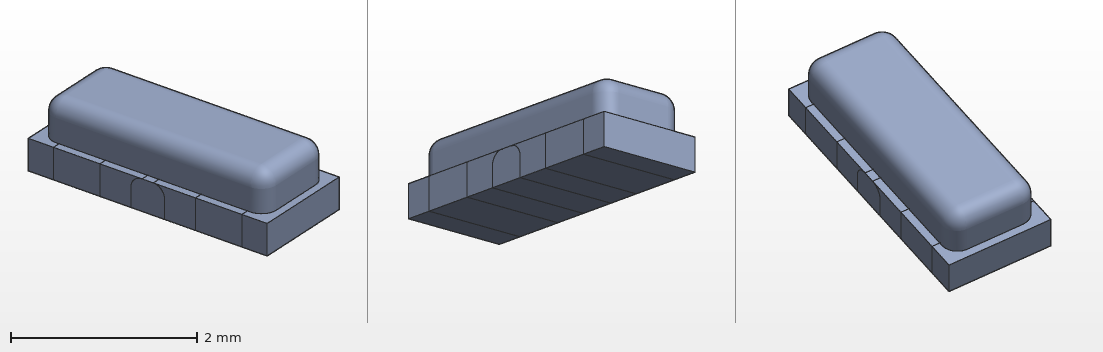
import cadquery as cq

LENGTH = 3.2
WIDTH = 1.3
BASE_HEIGHT = 0.4
TOTAL_HEIGHT = 0.9

CAP_MARGIN = 0.1
CAP_RADIUS = 0.2

SIDE_TERMINAL_WIDTH = 0.62
SIDE_TERMINAL_OFFSET = 0.95
CENTRE_TERMINAL_WIDTH = 0.45
CENTRE_TERMINAL_RADIUS = 0.15


def make_cap():
    """Cover with rounded upright corners and a rounded top rim."""
    cap = cq.Workplane("XY").workplane(offset=BASE_HEIGHT).rect(
        LENGTH - 2 * CAP_MARGIN, WIDTH - 2 * CAP_MARGIN
    )
    cap = cap.extrude(TOTAL_HEIGHT - BASE_HEIGHT)
    return cap.edges("|Z").fillet(CAP_RADIUS).faces(">Z").edges().fillet(CAP_RADIUS)


def make_strip(x_start, x_end):
    """Rectangular slice of the substrate between two X positions."""
    return cq.Workplane("XY").box(
        x_end - x_start, WIDTH, BASE_HEIGHT, centered=(False, True, False)
    ).translate((x_start, 0, 0))


def make_side_terminal(x_centre):
    """Plain terminal strip."""
    half_width = SIDE_TERMINAL_WIDTH / 2
    return make_strip(x_centre - half_width, x_centre + half_width)


def make_centre_terminal():
    """Terminal strip whose two long top edges are rounded."""
    half_width = CENTRE_TERMINAL_WIDTH / 2
    strip = make_strip(-half_width, half_width)
    return strip.edges("|Y and >Z").fillet(CENTRE_TERMINAL_RADIUS)


def make_end_block(side):
    """Substrate block outside a side terminal; side is -1 or 1 along X."""
    inner = side * (SIDE_TERMINAL_OFFSET + SIDE_TERMINAL_WIDTH / 2)
    outer = side * LENGTH / 2
    return make_strip(min(inner, outer), max(inner, outer))


def make_inner_block(side, centre_terminal):
    """Substrate block from a side terminal to the flank of the centre terminal."""
    outer = side * (SIDE_TERMINAL_OFFSET - SIDE_TERMINAL_WIDTH / 2)
    inner = side * (CENTRE_TERMINAL_WIDTH / 2 - CENTRE_TERMINAL_RADIUS)
    block = make_strip(min(inner, outer), max(inner, outer))
    return block.cut(centre_terminal)


cap = make_cap()
centre_terminal = make_centre_terminal()
bodies = [cap.val(), centre_terminal.val()]
for side in (-1, 1):
    bodies.append(make_side_terminal(side * SIDE_TERMINAL_OFFSET).val())
    bodies.append(make_end_block(side).val())
    bodies.append(make_inner_block(side, centre_terminal).solids().val())

result = cq.Compound.makeCompound(bodies)